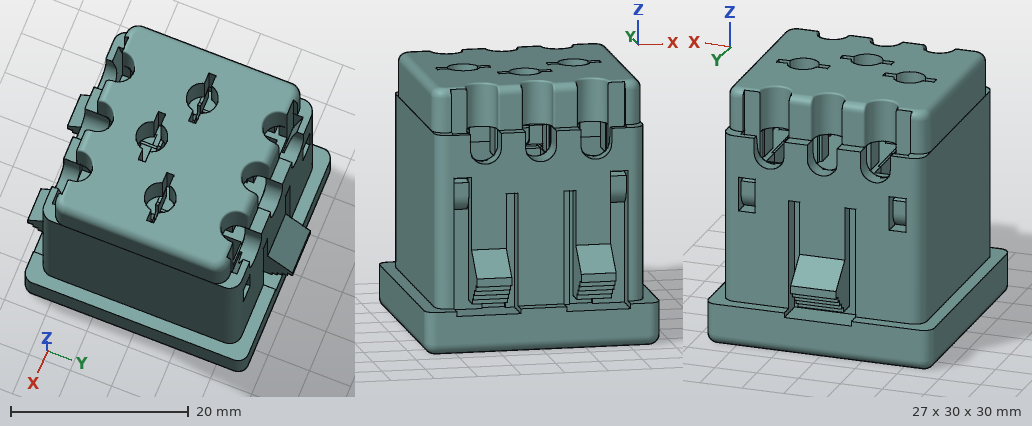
import cadquery as cq
import math

flange_width = 27.0
flange_height = 5.0
flange_corner = 1.25
flange_round = 1.2
body_width = 24.0
body_half = body_width / 2
body_corner = 1.5
body_top = 25.0

wire_pitch = 6.35
wire_columns = (-wire_pitch, 0, wire_pitch)
wire_radius = 1.78
wire_z = 23.3
cavity_floor = wire_z - wire_radius
cavity_half = 10.0
sill_half_width = 4.0
sill_inner_y = -9.0

window_bottom = 4.45
slot_top = 18.0
tongue_thickness = 1.6
tongue_slot = 1.35
front_tongue_width = 4.0
front_tongue_x = 6.0
rear_tongue_width = 5.4
rear_tongue_slot = 1.3
relief_inner_x = 3.7
relief_depth = 0.5
hook_tip = 15.0
hook_root_z = 11.7
hook_shoulder_z = 9.0
ratchet_top = 8.05
ratchet_step = 0.62
ratchet_count = 4
tongue_bottom = ratchet_top - ratchet_count * ratchet_step

window_inner_x = 8.0
window_outer_x = 10.0
snap_window_top = 20.05
leg_inner_x = wire_pitch + wire_radius
leg_bottom = 16.0
leg_thickness = 1.0
snap_depth = 1.1
snap_ledge_z = 19.55
snap_nose_z = 19.3
snap_curve_top = 17.7
ramp_depth = 1.2

cap_depth = 21.0
cap_top = 30.0
cap_height = cap_top - body_top
cap_round = 1.0
groove_y = 9.7
groove_edge_round = 0.22
guide_half_width = 9.5
guide_outer_y = 8.5
guide_mouth_y = 7.8
guide_thickness = 2.8
middle_gap = 3.0
slot_length = 6.1
slot_width = 0.85

line_hole_y = 0.43
ground_hole_y = -3.14
access_radius = 1.78
fork_thickness = 0.35
fork_width = 6.1
fork_bottom = 18.0
fork_slit = 1.15
line_fork_y = -0.2
ground_fork_y = -2.66
ground_drop = 0.55
slit_bottom = 22.0
shoulder_drop = 0.5
shoulder_half_width = 1.1
leaf_thickness = 0.3
leaf_bottom = 12.0
leaf_reach = 7.0
blade_width = 2.2
live_slot = (2.2, 9.05)
neutral_slot = (1.23, 9.8)
ground_slot = (-9.0, -5.0)
ground_width = 2.82
trough_radius = 0.9


def block(x0, x1, y0, y1, z0, z1):
    """Axis-aligned box between two opposite corners."""
    size = (x1 - x0, y1 - y0, z1 - z0)
    return cq.Workplane("XY").box(*size, centered=False).translate((x0, y0, z0))


def side_profile(points, x0, x1):
    """Closed outline of (y, z) points extruded along X."""
    return cq.Workplane("YZ").polyline(points).close().extrude(x1 - x0).translate((x0, 0, 0))


def at_four_corners(shape):
    """Copies of a +X, +Y shape mirrored to all four quadrants."""
    pair = shape.union(shape.mirror("YZ"))
    return pair.union(pair.mirror("XZ"))


def fork(x, y, top, slit_floor):
    """Upright plate with a round-bottomed wire slit and tips that rise toward it."""
    half_width = fork_width / 2
    half_slit = fork_slit / 2
    slit_center = slit_floor + half_slit
    shoulder = top - shoulder_drop
    outline = (
        cq.Workplane("XZ")
        .moveTo(-half_width, fork_bottom)
        .lineTo(half_width, fork_bottom)
        .lineTo(half_width, shoulder)
        .lineTo(shoulder_half_width, shoulder)
        .lineTo(half_slit, top)
        .lineTo(half_slit, slit_center)
        .threePointArc((0, slit_floor), (-half_slit, slit_center))
        .lineTo(-half_slit, top)
        .lineTo(-shoulder_half_width, shoulder)
        .lineTo(-half_width, shoulder)
        .close()
    )
    plate = outline.extrude(fork_thickness / 2, both=True)
    return plate.translate((x, y, 0))


def leaves(x, gap, y0, y1):
    """Two spring leaves that stand on either side of a plug slot."""
    inner = gap / 2
    outer = inner + leaf_thickness
    right_leaf = block(inner, outer, y0, y1, leaf_bottom, cavity_floor)
    return right_leaf.union(right_leaf.mirror("YZ")).translate((x, 0, 0))


def line_contact(x):
    plate = fork(x, line_fork_y, body_top, slit_bottom)
    return plate.union(leaves(x, blade_width, line_fork_y, leaf_reach))


def ground_contact():
    plate = fork(0, ground_fork_y, body_top - ground_drop, slit_bottom - ground_drop)
    springs = leaves(0, ground_width, -leaf_reach, ground_fork_y)
    trough_far = ground_fork_y - fork_thickness / 2 - trough_radius
    trough_floor = cavity_floor - trough_radius
    trough = block(-fork_width / 2, fork_width / 2, trough_far, ground_fork_y, fork_bottom, cavity_floor)
    hollow = (
        cq.Workplane("YZ")
        .center(trough_far + trough_radius, trough_floor + trough_radius)
        .circle(trough_radius)
        .extrude(fork_width / 2, both=True)
    )
    return trough.cut(hollow).union(plate).union(springs)


def housing_shell():
    flange = (
        cq.Workplane("XY")
        .rect(flange_width, flange_width)
        .extrude(flange_height)
        .edges("|Z")
        .fillet(flange_corner)
        .faces("<Z")
        .edges()
        .fillet(flange_round)
    )
    body = cq.Workplane("XY").rect(body_width, body_width).extrude(body_top - flange_round)
    body = body.edges("|Z").fillet(body_corner).translate((0, 0, flange_round))
    return flange.union(body)


def wiring_cavity():
    cavity = block(-cavity_half, cavity_half, -cavity_half, cavity_half, cavity_floor, body_top)
    sill = block(-sill_half_width, sill_half_width, -cavity_half, sill_inner_y, cavity_floor, body_top)
    return cavity.cut(sill)


def wire_notch(x):
    """U-shaped wire entries through the front and rear walls."""
    opening = cq.Workplane("XZ").center(x, wire_z).circle(wire_radius).extrude(body_half, both=True)
    above = block(x - wire_radius, x + wire_radius, -body_half, body_half, wire_z, body_top)
    return opening.union(above)


def tongue(half_width):
    """Rear tongue with a sloped hook and a stepped ratchet, centred on X = 0."""
    root = body_half - tongue_thickness
    points = [(root, tongue_bottom), (root, slot_top), (body_half, slot_top)]
    points += [(body_half, hook_root_z), (hook_tip, hook_shoulder_z)]
    for step in range(ratchet_count):
        z = ratchet_top - step * ratchet_step
        points.append((hook_tip - step * ratchet_step, z))
        points.append((hook_tip - (step + 1) * ratchet_step, z))
    points.append((hook_tip - ratchet_count * ratchet_step, tongue_bottom))
    return side_profile(points, -half_width, half_width)


def tongue_recess(x0, x1):
    """Rear opening around a tongue, running out through the flange."""
    return block(x0, x1, cavity_half, flange_width / 2, window_bottom, slot_top)


def tongue_relief():
    """Extra depth behind part of a side tongue, at +X, +Y."""
    floor_y = cavity_half - relief_depth
    return block(relief_inner_x, wire_pitch, floor_y, cavity_half, window_bottom, slot_top)


def snap_window(bottom):
    return block(window_inner_x, window_outer_x, cavity_half, body_half, bottom, snap_window_top)


def leg_lead_in():
    """Sloped pocket that guides a snap leg down to its window."""
    points = [(cavity_half, snap_window_top), (cavity_half, body_top), (cavity_half + ramp_depth, body_top)]
    return side_profile(points, wire_pitch, window_outer_x)


def leg_pocket():
    return block(leg_inner_x, window_outer_x, cavity_half - leg_thickness, cavity_half, leg_bottom, body_top)


def plug_slot(x, width, y_range):
    return block(x - width / 2, x + width / 2, *y_range, 0, cavity_floor)


def build_housing(contacts):
    housing = housing_shell().cut(wiring_cavity())
    for x in wire_columns:
        housing = housing.cut(wire_notch(x))
    housing = housing.cut(at_four_corners(leg_lead_in())).cut(at_four_corners(leg_pocket()))
    housing = housing.cut(at_four_corners(snap_window(leg_bottom)))

    rear_half = rear_tongue_width / 2
    rear_outer = rear_half + rear_tongue_slot
    housing = housing.cut(tongue_recess(-rear_outer, rear_outer)).union(tongue(rear_half))

    front_half = front_tongue_width / 2
    front_slot_end = front_tongue_x - front_half - tongue_slot
    front_recess = tongue_recess(front_slot_end, window_outer_x).union(snap_window(window_bottom))
    front_recess = front_recess.union(tongue_relief())
    front_recess = front_recess.mirror("XZ")
    front_tongue = tongue(front_half).mirror("XZ").translate((front_tongue_x, 0, 0))
    for recess, hook in (
        (front_recess, front_tongue),
        (front_recess.mirror("YZ"), front_tongue.mirror("YZ")),
    ):
        housing = housing.cut(recess).union(hook)

    housing = housing.cut(plug_slot(-wire_pitch, blade_width, live_slot))
    housing = housing.cut(plug_slot(wire_pitch, blade_width, neutral_slot))
    housing = housing.cut(plug_slot(0, ground_width, ground_slot))
    for contact in contacts:
        housing = housing.cut(contact)
    return housing


def cap_groove(x):
    """Rear wire groove, open toward +Y."""
    round_end = cq.Workplane("XY").center(x, groove_y).circle(wire_radius).extrude(cap_height)
    mouth = block(x - wire_radius, x + wire_radius, groove_y, body_half, 0, cap_height)
    return round_end.union(mouth).translate((0, 0, body_top))


def access_opening(x, y):
    """Round tool hole crossed by a narrow slot."""
    hole = cq.Workplane("XY").center(x, y).circle(access_radius).extrude(cap_top)
    slot = cq.Workplane("XY").center(x, y).rect(slot_length, slot_width).extrude(cap_top)
    return hole.union(slot)


def snap_leg():
    """Leg with a rounded snap nose, at +X, +Y."""
    face_y = cavity_half
    nose_y = face_y + snap_depth
    nose_rise = snap_curve_top - leg_bottom
    curve_radius = (nose_rise**2 + snap_depth**2) / (2 * snap_depth)
    half_angle = math.atan2(nose_rise, curve_radius - snap_depth) / 2
    middle_y = nose_y - curve_radius * (1 - math.cos(half_angle))
    middle_z = snap_curve_top - curve_radius * math.sin(half_angle)
    profile = (
        cq.Workplane("YZ")
        .moveTo(face_y - leg_thickness, body_top)
        .lineTo(face_y - leg_thickness, leg_bottom)
        .lineTo(face_y, leg_bottom)
        .threePointArc((middle_y, middle_z), (nose_y, snap_curve_top))
        .lineTo(nose_y, snap_nose_z)
        .lineTo(face_y, snap_ledge_z)
        .lineTo(face_y, body_top)
        .close()
    )
    leg = profile.extrude(window_outer_x - leg_inner_x)
    return leg.translate((leg_inner_x, 0, 0))


def wire_guide():
    """Rear wall under the cap with a gap for each wire, the middle one wider at its mouth."""
    inner_y = guide_outer_y - guide_thickness
    guide = block(-guide_half_width, guide_half_width, inner_y, guide_outer_y, cavity_floor, body_top)
    for x in wire_columns:
        half_gap = wire_radius if x else middle_gap / 2
        slot = block(x - half_gap, x + half_gap, inner_y, guide_outer_y, cavity_floor, body_top)
        guide = guide.cut(slot)
    mouth = block(-wire_radius, wire_radius, guide_mouth_y, guide_outer_y, cavity_floor, body_top)
    return guide.cut(mouth)


def build_cap():
    cap = cq.Workplane("XY").rect(body_width, cap_depth).extrude(cap_height)
    cap = cap.edges("|Z").fillet(body_corner).faces(">Z").edges().fillet(cap_round)
    cap = cap.translate((0, 0, body_top))
    for x in wire_columns:
        groove = cap_groove(x)
        cap = cap.cut(groove).cut(groove.mirror("XZ"))
    for y in (-groove_y, groove_y):
        for x in wire_columns:
            rim = cq.selectors.NearestToPointSelector((x, math.copysign(groove_y - wire_radius, y), cap_top))
            cap = cap.edges(rim).fillet(groove_edge_round)
    leg_relief = block(wire_pitch, window_outer_x, cavity_half, body_half, body_top, cap_top)
    cap = cap.cut(at_four_corners(leg_relief)).union(at_four_corners(snap_leg()))

    cap = cap.union(wire_guide()).union(wire_guide().mirror("XZ"))

    half_rib = fork_width / 2
    rib_front = ground_hole_y - half_rib
    rib_rear = ground_hole_y + half_rib
    rib = block(-half_rib, half_rib, rib_front, rib_rear, body_top - ground_drop, body_top)
    cap = cap.union(rib)
    for x, y in ((-wire_pitch, line_hole_y), (0, ground_hole_y), (wire_pitch, line_hole_y)):
        cap = cap.cut(access_opening(x, y))
    return cap


line_contacts = [line_contact(x) for x in (-wire_pitch, wire_pitch)]
ground = ground_contact()
housing = build_housing([*line_contacts, ground])
cap = build_cap()

result = cq.Compound.makeCompound(
    [housing.val(), cap.val(), *[contact.val() for contact in line_contacts], ground.val()]
)